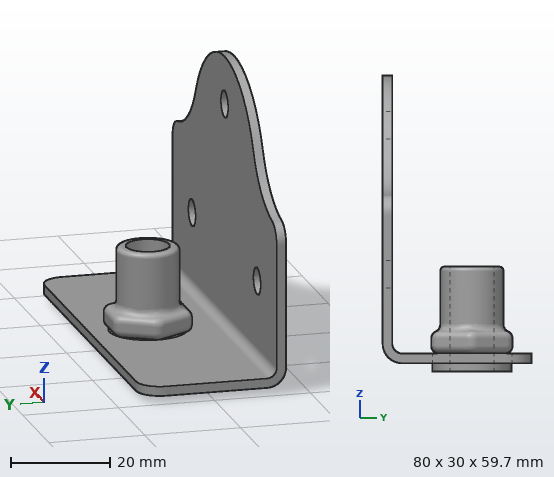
import cadquery as cq
import math

WIDTH = 80.0
SHEET = 2.0
BEND_INNER_RADIUS = 2.0
BEND_OUTER_RADIUS = BEND_INNER_RADIUS + SHEET
PLATE_HEIGHT = 58.0
FLANGE_DEPTH = 30.0
FLANGE_CORNER_RADIUS = 5.0

DOME_RADIUS = 25.0
SHOULDER_RADIUS = 20.0
SHOULDER_CORNER_RADIUS = 4.0

MOUNT_HOLE_DIAMETER = 5.5
TOP_HOLE_Z = 48.0
LOWER_HOLE_X = 25.0
LOWER_HOLE_Z = 18.0

BUSHING_Y = 18.0
BORE_DIAMETER = 8.9
SHANK_DIAMETER = 16.0
SHANK_PROTRUSION = 1.7
HEX_ACROSS_FLATS = 16.4
HEX_HEIGHT = 4.6
HEX_CORNER_RADIUS = 2.1
HEX_FILLET_RADIUS = 1.5
TUBE_DIAMETER = 12.8
TUBE_TOP_Z = 19.5
TUBE_FILLET_RADIUS = 1.0
ROOT_FILLET_RADIUS = 1.5
ROOT_MARGIN = 0.1


def make_bent_sheet():
    """L-shaped sheet with a rounded bend, extruded across the full width."""
    return (
        cq.Workplane("YZ", origin=(-WIDTH / 2, 0, 0))
        .moveTo(0, PLATE_HEIGHT)
        .lineTo(0, BEND_OUTER_RADIUS)
        .radiusArc((BEND_OUTER_RADIUS, 0), -BEND_OUTER_RADIUS)
        .lineTo(FLANGE_DEPTH, 0)
        .lineTo(FLANGE_DEPTH, SHEET)
        .lineTo(BEND_OUTER_RADIUS, SHEET)
        .radiusArc((SHEET, BEND_OUTER_RADIUS), BEND_INNER_RADIUS)
        .lineTo(SHEET, PLATE_HEIGHT)
        .close()
        .extrude(WIDTH)
    )


def make_upright_envelope():
    """Domed outline of the upright, deep enough to hold the whole bracket."""
    half_width = WIDTH / 2
    dome_center_z = PLATE_HEIGHT - DOME_RADIUS

    center_distance = DOME_RADIUS + SHOULDER_RADIUS
    shoulder_rise = math.sqrt(center_distance**2 - half_width**2)
    shoulder_center_z = dome_center_z + shoulder_rise
    dome_end_x = half_width * DOME_RADIUS / center_distance
    dome_end_z = dome_center_z + shoulder_rise * DOME_RADIUS / center_distance

    corner_distance = SHOULDER_RADIUS + SHOULDER_CORNER_RADIUS
    corner_drop = math.sqrt(corner_distance**2 - SHOULDER_CORNER_RADIUS**2)
    side_top_z = shoulder_center_z - corner_drop
    shoulder_share = SHOULDER_RADIUS / corner_distance
    shoulder_end_x = half_width - SHOULDER_CORNER_RADIUS * shoulder_share
    shoulder_end_z = shoulder_center_z - corner_drop * shoulder_share

    return (
        cq.Workplane("XZ")
        .moveTo(-half_width, 0)
        .lineTo(-half_width, side_top_z)
        .radiusArc((-shoulder_end_x, shoulder_end_z), SHOULDER_CORNER_RADIUS)
        .radiusArc((-dome_end_x, dome_end_z), -SHOULDER_RADIUS)
        .threePointArc((0, PLATE_HEIGHT), (dome_end_x, dome_end_z))
        .radiusArc((shoulder_end_x, shoulder_end_z), -SHOULDER_RADIUS)
        .radiusArc((half_width, side_top_z), SHOULDER_CORNER_RADIUS)
        .lineTo(half_width, 0)
        .close()
        .extrude(-FLANGE_DEPTH)
    )


def make_bracket():
    bracket = make_bent_sheet().intersect(make_upright_envelope())
    bracket = bracket.edges("|Z and >Y").fillet(FLANGE_CORNER_RADIUS)

    mount_holes = (
        cq.Workplane("XZ")
        .pushPoints([(0, TOP_HOLE_Z), (-LOWER_HOLE_X, LOWER_HOLE_Z), (LOWER_HOLE_X, LOWER_HOLE_Z)])
        .circle(MOUNT_HOLE_DIAMETER / 2)
        .extrude(-SHEET)
    )
    shank_hole = cq.Workplane("XY").center(0, BUSHING_Y).circle(SHANK_DIAMETER / 2).extrude(SHEET)
    return bracket.cut(mount_holes).cut(shank_hole)


def make_cylinder(diameter, bottom_z, top_z):
    """Upright cylinder on the bushing axis."""
    return (
        cq.Workplane("XY", origin=(0, BUSHING_Y, bottom_z))
        .circle(diameter / 2)
        .extrude(top_z - bottom_z)
    )


def make_hex():
    """Hexagon with flats facing +Y and -Y, rounded on all its edges."""
    across_corners = HEX_ACROSS_FLATS / math.cos(math.pi / 6)
    return (
        cq.Workplane("XY", origin=(0, BUSHING_Y, SHEET))
        .polygon(6, across_corners)
        .extrude(HEX_HEIGHT)
        .edges("|Z")
        .fillet(HEX_CORNER_RADIUS)
        .faces("<Z or >Z")
        .edges()
        .fillet(HEX_FILLET_RADIUS)
    )


def make_bushing():
    """Shank, hexagon and tube in one piece, bored through."""
    hex_top_z = SHEET + HEX_HEIGHT
    tube = make_cylinder(TUBE_DIAMETER, SHEET, TUBE_TOP_Z).faces(">Z").edges().fillet(TUBE_FILLET_RADIUS)

    tube_radius = TUBE_DIAMETER / 2
    root_edge = cq.selectors.BoxSelector(
        (-tube_radius - ROOT_MARGIN, BUSHING_Y - tube_radius - ROOT_MARGIN, hex_top_z - ROOT_MARGIN),
        (tube_radius + ROOT_MARGIN, BUSHING_Y + tube_radius + ROOT_MARGIN, hex_top_z + ROOT_MARGIN),
        boundingbox=True,
    )
    body = make_hex().union(tube).edges(root_edge).fillet(ROOT_FILLET_RADIUS)

    shank = make_cylinder(SHANK_DIAMETER, -SHANK_PROTRUSION, SHEET)
    bore = make_cylinder(BORE_DIAMETER, -SHANK_PROTRUSION, TUBE_TOP_Z)
    return body.union(shank).cut(bore)


bracket = make_bracket()
bushing = make_bushing()

result = cq.Compound.makeCompound([bracket.val(), bushing.val()])